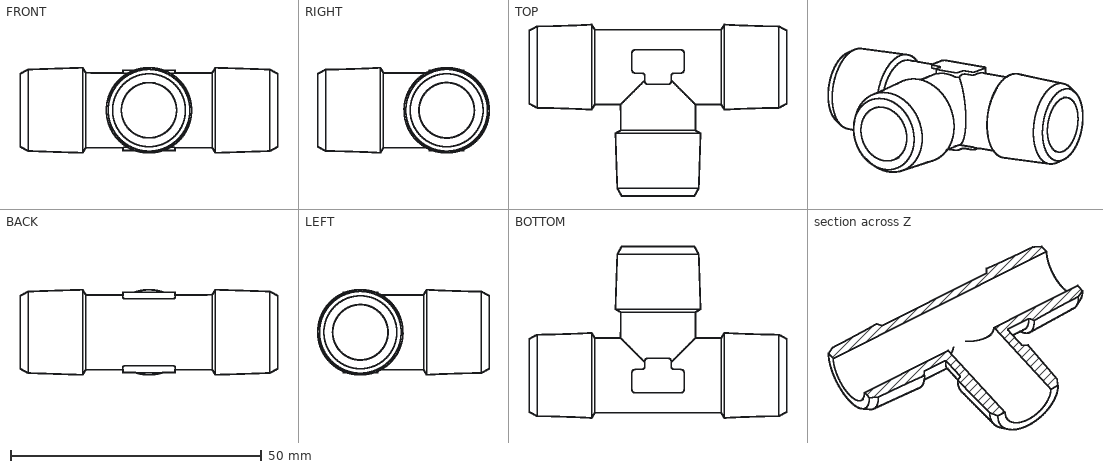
import cadquery as cq

run_length = 51.5
arm_length = run_length / 2
tube_diameter = 15.0
bore_diameter = 11.0

collar_length = 13.15
collar_max_diameter = 17.05
collar_taper_diameter = 16.3
collar_tip_diameter = 14.6
tip_chamfer_length = 1.6
back_chamfer_length = 0.6

pad_height = 8.05
pad_width = 10.4
pad_stem_width = 5.25
pad_reach = 3.45
pad_shoulder = 1.2
pad_corner_radius = 0.6


def make_collar():
    """Tapered collar on the +Z axis, ending at the full arm length."""
    collar_start = arm_length - collar_length
    profile = [
        (0, collar_start),
        (tube_diameter / 2, collar_start),
        (collar_max_diameter / 2, collar_start + back_chamfer_length),
        (collar_taper_diameter / 2, arm_length - tip_chamfer_length),
        (collar_tip_diameter / 2, arm_length),
        (0, arm_length),
    ]
    return cq.Workplane("XZ").polyline(profile).close().revolve(360, (0, 0, 0), (0, 1, 0))


def make_pads():
    """Rounded T-shaped prism reaching both pad faces."""
    half_width = pad_width / 2
    half_stem = pad_stem_width / 2
    outline = [
        (-half_width, pad_reach),
        (half_width, pad_reach),
        (half_width, -pad_shoulder),
        (half_stem, -pad_shoulder),
        (half_stem, -pad_reach),
        (-half_stem, -pad_reach),
        (-half_stem, -pad_shoulder),
        (-half_width, -pad_shoulder),
    ]
    prism = cq.Workplane("XY").polyline(outline).close().extrude(pad_height, both=True)
    return prism.edges("|Z").fillet(pad_corner_radius)


run_tube = cq.Workplane("YZ").circle(tube_diameter / 2).extrude(arm_length - collar_length, both=True)
branch_tube = cq.Workplane("XZ").circle(tube_diameter / 2).extrude(arm_length - collar_length)
body = run_tube.union(branch_tube)

collar = make_collar()
for turn_axis, angle in [((0, 1, 0), 90), ((0, 1, 0), -90), ((1, 0, 0), 90)]:
    body = body.union(collar.rotate((0, 0, 0), turn_axis, angle))

body = body.union(make_pads())

run_bore = cq.Workplane("YZ").circle(bore_diameter / 2).extrude(arm_length, both=True)
branch_bore = cq.Workplane("XZ").circle(bore_diameter / 2).extrude(arm_length)
result = body.cut(run_bore).cut(branch_bore)